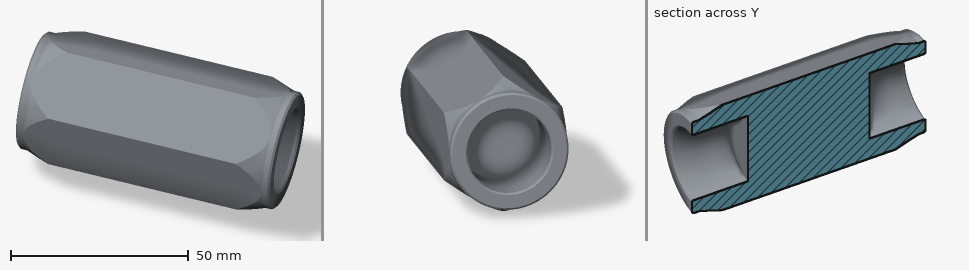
import cadquery as cq
import math

length = 75.0
across_flats = 34.0
across_corners = across_flats / math.cos(math.radians(30))

collar_radius = across_flats / 2
collar_length = 2.3
collar_chamfer = 0.6

bevel_length = 7.5

port_diameter = 24.12
port_depth = 18.0
port_chamfer = 0.5


def make_hexagonal_bar():
    """Bar with two flats facing +Y and -Y and corners on +Z and -Z."""
    return (
        cq.Workplane("YZ")
        .polygon(6, across_corners)
        .extrude(length / 2, both=True)
        .rotate((0, 0, 0), (1, 0, 0), 90)
    )


def make_turned_envelope():
    """Solid of revolution about X that bounds the collars and the bevels."""
    end = length / 2
    shoulder = end - collar_length
    bevel_end = shoulder - bevel_length
    corner_radius = across_corners / 2
    return (
        cq.Workplane("XY")
        .moveTo(-end, 0)
        .lineTo(-end, collar_radius - collar_chamfer)
        .lineTo(-end + collar_chamfer, collar_radius)
        .lineTo(-shoulder, collar_radius)
        .lineTo(-bevel_end, corner_radius)
        .lineTo(bevel_end, corner_radius)
        .lineTo(shoulder, collar_radius)
        .lineTo(end - collar_chamfer, collar_radius)
        .lineTo(end, collar_radius - collar_chamfer)
        .lineTo(end, 0)
        .close()
        .revolve(360, (0, 0, 0), (1, 0, 0))
    )


def cut_ports(body):
    """Cut a flat-bottomed port with a chamfered mouth into both ends."""
    for end_face in ("<X", ">X"):
        body = (
            body.faces(end_face)
            .workplane(centerOption="CenterOfBoundBox")
            .cskHole(port_diameter, port_diameter + 2 * port_chamfer, 90, port_depth)
        )
    return body


result = cut_ports(make_hexagonal_bar().intersect(make_turned_envelope()))